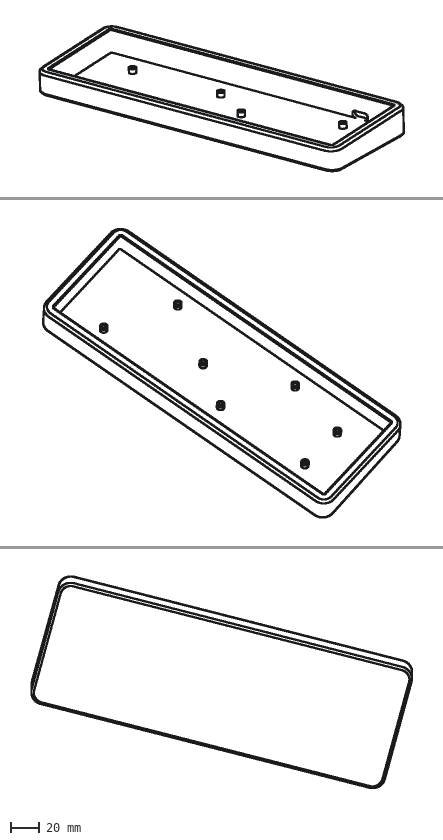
import cadquery as cq
import math

length = 258.0
depth = 91.3
height = 23.0
tilt = 3.0
corner_radius = 9.0
rim_chamfer = 2.0
base_chamfer = 1.8

wall = 7.2
mouth_chamfer = 0.65
cavity_corner_radius = 0.8
cavity_depth = 18.3
flat_floor_width = 8.5

standoff_diameter = 5.5
standoff_hole = 3.0
standoff_height = 3.5
standoff_positions = [
    (-90.0, 19.0),
    (-14.2, 19.0),
    (89.2, 21.1),
    (16.8, -0.3),
    (-91.5, -16.0),
    (-45.0, -27.0),
    (60.5, -27.0),
]

pocket_x = 92.0
pocket_width = 13.5
pocket_height = 5.5
pocket_depth = 3.4

slope = math.radians(tilt)
rim_level = (height - (depth / 2 - rim_chamfer) * math.sin(slope)) / math.cos(slope)
floor_level = rim_level - cavity_depth
below_base = depth * math.sin(slope)
cavity_length = length - 2 * wall
cavity_width = depth - 2 * wall


def tilted(shape):
    """Turn a shape from the tilted frame into the upright frame of the part."""
    return shape.rotate((0, 0, 0), (1, 0, 0), tilt)


def outer_body():
    blank = (
        cq.Workplane("XY", origin=(0, 0, -below_base))
        .rect(length, depth)
        .extrude(rim_level + below_base)
        .edges("|Z").fillet(corner_radius)
        .faces(">Z").edges().chamfer(rim_chamfer)
    )
    above_ground = cq.Workplane("XY").rect(2 * length, 2 * depth).extrude(2 * height)
    return tilted(blank).intersect(above_ground).faces("<Z").edges().chamfer(base_chamfer)


def cavity():
    pocket = (
        cq.Workplane("XY", origin=(0, 0, floor_level))
        .rect(cavity_length, cavity_width)
        .extrude(cavity_depth)
        .edges("|Z").fillet(cavity_corner_radius)
    )
    flare = (
        cq.Workplane("XY", origin=(0, 0, rim_level - mouth_chamfer))
        .rect(cavity_length + 2 * mouth_chamfer, cavity_width + 2 * mouth_chamfer)
        .extrude(2 * mouth_chamfer)
        .edges("|Z").fillet(cavity_corner_radius + mouth_chamfer)
        .faces("<Z").edges().chamfer(mouth_chamfer)
    )
    return tilted(pocket.union(flare))


def flat_floor():
    """Fill the thin front end of the tilted floor up to a level strip."""
    front = -cavity_width / 2
    strip_edge = front + flat_floor_width
    wedge = (
        cq.Workplane("YZ", origin=(-cavity_length / 2, 0, 0))
        .moveTo(strip_edge, floor_level)
        .lineTo(front, floor_level + flat_floor_width * math.tan(slope))
        .lineTo(front, floor_level)
        .close()
        .extrude(cavity_length)
    )
    return tilted(wedge)


def standoffs():
    posts = (
        cq.Workplane("XY", origin=(0, 0, floor_level))
        .pushPoints(standoff_positions)
        .circle(standoff_diameter / 2)
        .circle(standoff_hole / 2)
        .extrude(standoff_height)
    )
    return tilted(posts)


def wall_pocket():
    slot = (
        cq.Workplane("XZ", origin=(pocket_x, cavity_width / 2, floor_level + pocket_height / 2))
        .slot2D(pocket_width, pocket_height)
        .extrude(-pocket_depth)
    )
    return tilted(slot)


tray = outer_body().cut(cavity()).cut(wall_pocket())
result = tray.union(flat_floor()).union(standoffs()).clean()